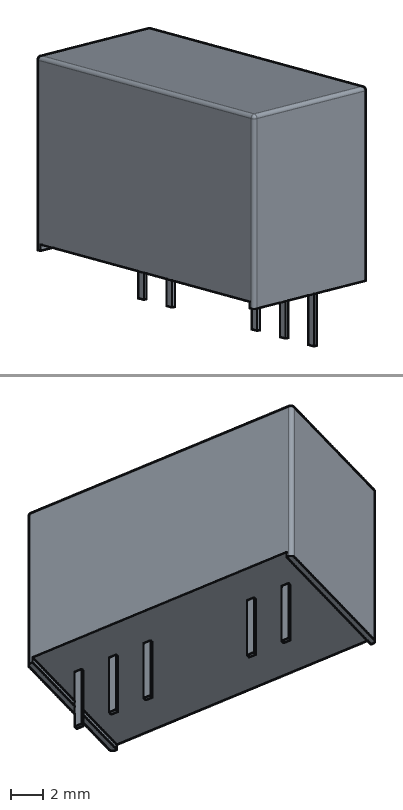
import cadquery as cq

case_length = 19.5
case_width = 9.8
total_height = 16.6
edge_radius = 0.25

foot_length = 0.4
foot_height = 0.4

pin_drop = 4.1
pin_width = 0.5
pin_thickness = 0.25
pin_pitch = 2.54
pin_row_y = 2.22
pin_steps = (-3, -2, 1, 2, 3)

case_height = total_height - pin_drop


def make_case():
    """Rounded box standing on z = 0, with a channel across its underside."""
    block = cq.Workplane("XY").box(
        case_length, case_width, case_height, centered=(True, True, False)
    )
    block = block.edges("|Z or >Z").fillet(edge_radius)
    channel = cq.Workplane("XY").box(
        case_length - 2 * foot_length, case_width, foot_height, centered=(True, True, False)
    )
    return block.cut(channel)


def make_pins():
    """Flat pins hanging from the channel roof."""
    return (
        cq.Workplane("XY", origin=(0, pin_row_y, -pin_drop))
        .pushPoints([(step * pin_pitch, 0) for step in pin_steps])
        .rect(pin_width, pin_thickness)
        .extrude(pin_drop + foot_height)
    )


result = make_case().union(make_pins())